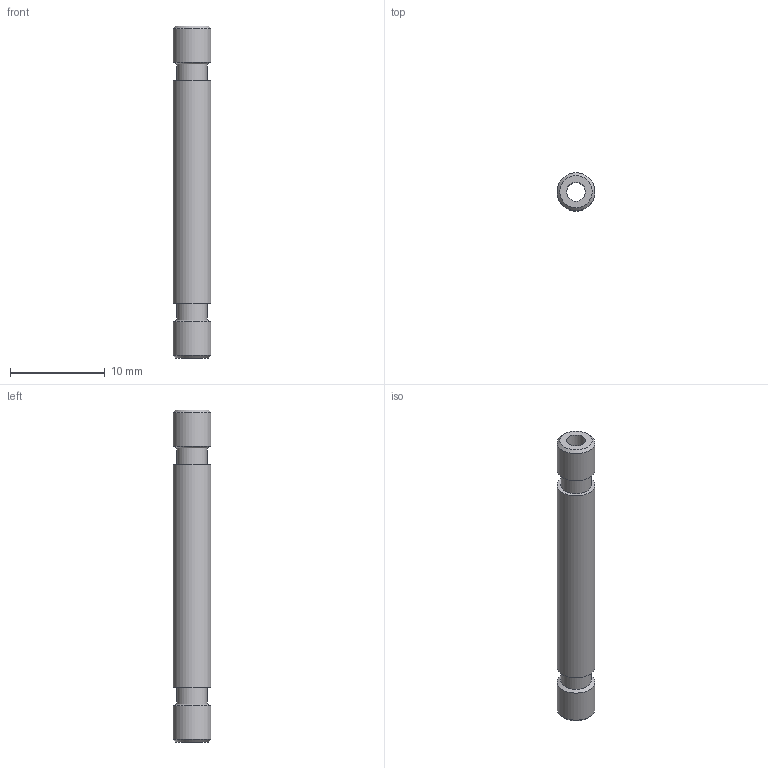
import cadquery as cq

length = 35.0
outer_diameter = 4.0
bore_diameter = 2.0
groove_diameter = 3.2
collar_length = 3.8
collar_taper_length = 0.2
groove_floor_width = 1.75
end_chamfer = 0.3

outer_radius = outer_diameter / 2
bore_radius = bore_diameter / 2
groove_radius = groove_diameter / 2
half_length = length / 2

collar_z = half_length - collar_length
taper_foot_z = collar_z - collar_taper_length
shaft_end_z = taper_foot_z - groove_floor_width

upper_corners = [
    (outer_radius, shaft_end_z),
    (groove_radius, shaft_end_z),
    (groove_radius, taper_foot_z),
    (outer_radius, collar_z),
    (outer_radius, half_length - end_chamfer),
    (outer_radius - end_chamfer, half_length),
    (bore_radius, half_length),
]


def make_pin():
    """Bored pin, symmetric about its mid-plane, revolved about Z."""
    lower_corners = [(radius, -z) for radius, z in reversed(upper_corners)]
    section = cq.Workplane("XZ").polyline(lower_corners + upper_corners).close()
    return section.revolve(360, (0, 0), (0, 1))


result = make_pin()